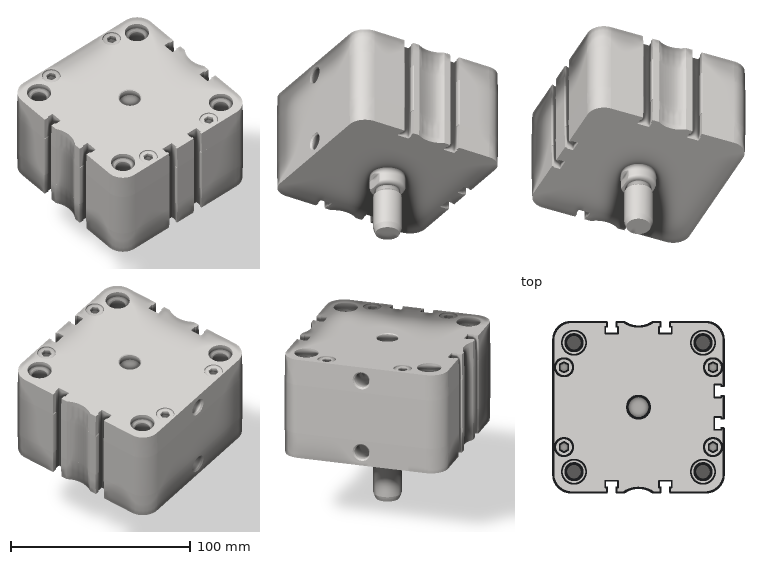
import cadquery as cq
import math

SIDE = 95.5
CORNER_RADIUS = 10.3
BARREL_LENGTH = 29.0
CAP_LENGTH = 15.0
CAP_DRAFT = 1.3
TOTAL_LENGTH = 96.0

SCALLOP_RADIUS = 14.0
SCALLOP_DEPTH = 2.6

SLOT_WIDTH = 7.0
CAP_THROAT = 5.8
BARREL_THROAT = 5.2
SLOT_ROUNDING = 0.6
SCALLOP_ROUNDING = 1.2
Y_SLOT_OFFSET = 15.0
Y_SLOT_DEPTH = 6.6
Y_SLOT_LIP = 3.0
X_SLOT_OFFSET = 9.0
X_SLOT_DEPTH = 5.5
X_SLOT_LIP = 1.6

CENTER_BORE_DIAMETER = 12.0
CENTER_BORE_DEPTH = 4.0
CENTER_BORE_CHAMFER = 0.5

MOUNT_OFFSET = 36.0
MOUNT_DIAMETER = 8.5
MOUNT_CHAMFER_DIAMETER = 9.8
MOUNT_COUNTERBORE_DIAMETER = 13.5
MOUNT_COUNTERBORE_DEPTH = 3.4

SCREW_X = 41.6
SCREW_Y = 22.3
SCREW_RECESS_DIAMETER = 10.3
SCREW_RECESS_DEPTH = 5.6
SCREW_HEAD_DIAMETER = 9.8
SCREW_HEAD_SETBACK = 0.6
SOCKET_ACROSS_FLATS = 5.0
SOCKET_DEPTH = 2.5

PORT_DIAMETER = 8.5
PORT_MOUTH_DIAMETER = 10.3
PORT_DEPTH = 10.0
PORT_END_OFFSET = 7.9
PASSAGE_DIAMETER = 5.0
PASSAGE_DEPTH = 5.0

ROD_DIAMETER = 20.0
ROD_SHOULDER = 9.4
ROD_ROUNDING = 2.0
FLAT_DISTANCE = 17.0
FLAT_START = 3.5
NECK_DIAMETER = 13.5
NECK_LENGTH = 2.5
THREAD_DIAMETER = 15.9
TIP_CHAMFER_LENGTH = 3.1

HALF = SIDE / 2
BARREL_BOTTOM = CAP_LENGTH
BARREL_TOP = CAP_LENGTH + BARREL_LENGTH
BODY_TOP = BARREL_TOP + CAP_LENGTH
ROD_TIP = BODY_TOP - TOTAL_LENGTH


def body_outline():
    """Rounded square around the origin with a round groove in its -Y and +Y sides."""
    straight = HALF - CORNER_RADIUS
    diagonal = straight + CORNER_RADIUS * math.sqrt(0.5)
    chord = math.sqrt(SCALLOP_RADIUS**2 - (SCALLOP_RADIUS - SCALLOP_DEPTH) ** 2)
    groove = HALF - SCALLOP_DEPTH
    return (
        cq.Workplane("XY")
        .moveTo(-straight, -HALF)
        .lineTo(-chord, -HALF)
        .threePointArc((0, -groove), (chord, -HALF))
        .lineTo(straight, -HALF)
        .threePointArc((diagonal, -diagonal), (HALF, -straight))
        .lineTo(HALF, straight)
        .threePointArc((diagonal, diagonal), (straight, HALF))
        .lineTo(chord, HALF)
        .threePointArc((0, groove), (-chord, HALF))
        .lineTo(-straight, HALF)
        .threePointArc((-diagonal, diagonal), (-HALF, straight))
        .lineTo(-HALF, -straight)
        .threePointArc((-diagonal, -diagonal), (-straight, -HALF))
        .close()
    )


def slot_cutter(angle, offset, depth, lip, throat, length):
    """T-shaped slot for the +X side, turned about Z to the side that needs it."""
    pocket_depth = depth - lip
    pocket = (
        cq.Workplane("XY")
        .center(HALF - depth + pocket_depth / 2, offset)
        .rect(pocket_depth, SLOT_WIDTH)
        .extrude(length)
    )
    opening = (
        cq.Workplane("XY")
        .center(HALF, offset)
        .rect(2 * depth, throat)
        .extrude(length)
    )
    return pocket.union(opening).rotate((0, 0, 0), (0, 0, 1), angle)


def cut_slots(body, throat, length):
    for sign in (-1, 1):
        body = body.cut(slot_cutter(0, sign * X_SLOT_OFFSET, X_SLOT_DEPTH, X_SLOT_LIP, throat, length))
        for angle in (90, -90):
            body = body.cut(
                slot_cutter(angle, sign * Y_SLOT_OFFSET, Y_SLOT_DEPTH, Y_SLOT_LIP, throat, length)
            )
    return body


def plain_cap():
    """Slotted cap standing on z = 0 with its wide seam face down and its free face up."""
    cap = body_outline().extrude(CAP_LENGTH, taper=CAP_DRAFT)
    return cut_slots(cap, CAP_THROAT, CAP_LENGTH)


def revolved(profile):
    """Turned shape about Z from (radius, z) corners; the first and last lie on the axis."""
    return cq.Workplane("XZ").polyline(profile).close().revolve(360, (0, 0, 0), (0, 1, 0))


def round_side_edges(barrel, x_range, y_range, radius):
    """Round the upright edges whose centers lie within |x| and |y| ranges (low, high)."""
    chosen = []
    for edge in barrel.edges("|Z").vals():
        center = edge.Center()
        if x_range[0] < abs(center.x) < x_range[1] and y_range[0] < abs(center.y) < y_range[1]:
            chosen.append(edge)
    return barrel.newObject(chosen).fillet(radius)


def make_barrel():
    barrel = cut_slots(body_outline().extrude(BARREL_LENGTH), BARREL_THROAT, BARREL_LENGTH)
    skin = (HALF - SLOT_ROUNDING, HALF + SLOT_ROUNDING)
    groove_range = (0, Y_SLOT_OFFSET - SLOT_WIDTH / 2)
    y_slot_range = (Y_SLOT_OFFSET - SLOT_WIDTH / 2, Y_SLOT_OFFSET + SLOT_WIDTH / 2)
    x_slot_range = (X_SLOT_OFFSET - SLOT_WIDTH / 2, X_SLOT_OFFSET + SLOT_WIDTH / 2)
    barrel = round_side_edges(barrel, groove_range, skin, SCALLOP_ROUNDING)
    barrel = round_side_edges(barrel, y_slot_range, skin, SLOT_ROUNDING)
    barrel = round_side_edges(barrel, skin, x_slot_range, SLOT_ROUNDING)
    return barrel.translate((0, 0, BARREL_BOTTOM))


def port_cutter(axis_height):
    """Chamfered blind hole entering from the -X side."""
    mouth_radius = PORT_MOUTH_DIAMETER / 2
    radius = PORT_DIAMETER / 2
    chamfer = mouth_radius - radius
    mouth_setback = (CAP_LENGTH - PORT_END_OFFSET) * math.tan(math.radians(CAP_DRAFT))
    profile = [
        (0, 0),
        (mouth_radius, 0),
        (mouth_radius, mouth_setback),
        (radius, mouth_setback + chamfer),
        (radius, PORT_DEPTH),
        (0, PORT_DEPTH),
    ]
    return revolved(profile).rotate((0, 0, 0), (0, 1, 0), 90).translate((-HALF, 0, axis_height))


def passage_cutter(axis_height):
    return (
        cq.Workplane("YZ", origin=(-HALF + PORT_DEPTH, 0, axis_height))
        .circle(PASSAGE_DIAMETER / 2)
        .extrude(PASSAGE_DEPTH)
    )


def center_bore_cutter():
    radius = CENTER_BORE_DIAMETER / 2
    profile = [
        (0, BODY_TOP),
        (radius + CENTER_BORE_CHAMFER, BODY_TOP),
        (radius, BODY_TOP - CENTER_BORE_CHAMFER),
        (radius, BODY_TOP - CENTER_BORE_DEPTH),
        (0, BODY_TOP - CENTER_BORE_DEPTH),
    ]
    return revolved(profile)


def mounting_hole_cutter():
    """Counterbored hole with a chamfered inner edge, through the upper cap."""
    counterbore_radius = MOUNT_COUNTERBORE_DIAMETER / 2
    chamfer_radius = MOUNT_CHAMFER_DIAMETER / 2
    radius = MOUNT_DIAMETER / 2
    seat = BODY_TOP - MOUNT_COUNTERBORE_DEPTH
    profile = [
        (0, BODY_TOP),
        (counterbore_radius, BODY_TOP),
        (counterbore_radius, seat),
        (chamfer_radius, seat),
        (radius, seat - (chamfer_radius - radius)),
        (radius, BARREL_TOP),
        (0, BARREL_TOP),
    ]
    return revolved(profile)


def screw_recess_cutter():
    """Counterbore that leaves a socket screw head standing on its seat."""
    recess = (
        cq.Workplane("XY", origin=(0, 0, BODY_TOP - SCREW_RECESS_DEPTH))
        .circle(SCREW_RECESS_DIAMETER / 2)
        .extrude(SCREW_RECESS_DEPTH)
    )
    head_height = SCREW_RECESS_DEPTH - SCREW_HEAD_SETBACK
    socket_corners = SOCKET_ACROSS_FLATS / math.cos(math.pi / 6)
    head = (
        cq.Workplane("XY", origin=(0, 0, BODY_TOP - SCREW_RECESS_DEPTH))
        .circle(SCREW_HEAD_DIAMETER / 2)
        .extrude(head_height)
        .faces(">Z")
        .workplane()
        .transformed(rotate=(0, 0, 90))
        .polygon(6, socket_corners)
        .cutBlind(-SOCKET_DEPTH)
    )
    return recess.cut(head)


def make_upper_cap():
    port_height = BODY_TOP - PORT_END_OFFSET
    cap = plain_cap().translate((0, 0, BARREL_TOP))
    cap = cap.cut(port_cutter(port_height)).cut(passage_cutter(port_height))
    cap = cap.cut(center_bore_cutter())
    mounting_hole = mounting_hole_cutter()
    screw_recess = screw_recess_cutter()
    for x_sign in (-1, 1):
        for y_sign in (-1, 1):
            cap = cap.cut(mounting_hole.translate((x_sign * MOUNT_OFFSET, y_sign * MOUNT_OFFSET, 0)))
            cap = cap.cut(screw_recess.translate((x_sign * SCREW_X, y_sign * SCREW_Y, 0)))
    return cap


def make_lower_cap():
    cap = plain_cap().mirror("XY").translate((0, 0, CAP_LENGTH))
    rod_bore = cq.Workplane("XY").circle(ROD_DIAMETER / 2).extrude(CAP_LENGTH)
    return cap.cut(rod_bore).cut(port_cutter(PORT_END_OFFSET))


def make_rod():
    """Rod guided by the lower cap, with wrench flats, an undercut neck and a chamfered thread."""
    neck_radius = NECK_DIAMETER / 2
    thread_radius = THREAD_DIAMETER / 2
    neck_end = -ROD_SHOULDER - NECK_LENGTH
    shoulder = (
        cq.Workplane("XY", origin=(0, 0, -ROD_SHOULDER))
        .circle(ROD_DIAMETER / 2)
        .extrude(ROD_SHOULDER + CAP_LENGTH)
        .faces("<Z")
        .edges()
        .fillet(ROD_ROUNDING)
    )
    slope = (ROD_DIAMETER - FLAT_DISTANCE) / 2
    flat = FLAT_DISTANCE / 2
    for side in (-1, 1):
        flat_cutter = (
            cq.Workplane("XZ")
            .moveTo(side * flat, -ROD_SHOULDER)
            .lineTo(side * flat, -FLAT_START)
            .lineTo(side * (flat + slope), -FLAT_START + slope)
            .lineTo(side * (flat + slope), -ROD_SHOULDER)
            .close()
            .extrude(ROD_DIAMETER / 2, both=True)
        )
        shoulder = shoulder.cut(flat_cutter)
    thread = revolved([
        (0, -ROD_SHOULDER),
        (neck_radius, -ROD_SHOULDER),
        (neck_radius, neck_end),
        (thread_radius, neck_end - (thread_radius - neck_radius)),
        (thread_radius, ROD_TIP + TIP_CHAMFER_LENGTH),
        (neck_radius, ROD_TIP),
        (0, ROD_TIP),
    ])
    return shoulder.union(thread)


upper_cap = make_upper_cap()
barrel = make_barrel()
lower_cap = make_lower_cap()
rod = make_rod()

result = cq.Compound.makeCompound([
    *upper_cap.solids().vals(),
    *barrel.solids().vals(),
    *lower_cap.solids().vals(),
    *rod.solids().vals(),
])